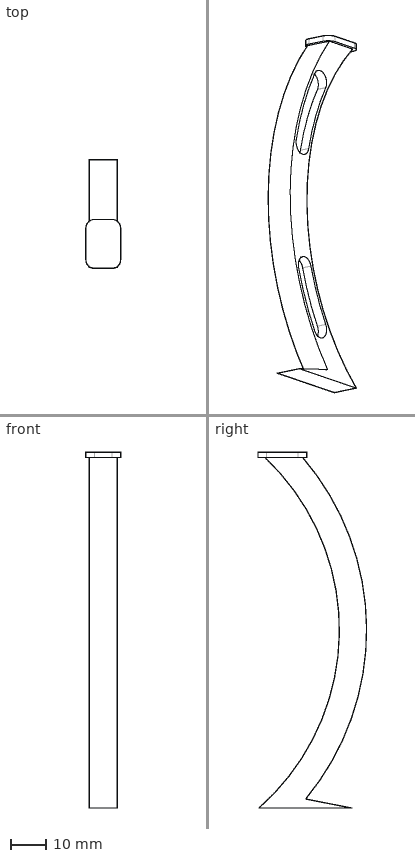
import cadquery as cq
import math

total_height = 101.6

arm_width = 8.0
arm_thickness = 7.84
arm_mid_radius = 71.62
arm_outer_radius = arm_mid_radius + arm_thickness / 2
arm_inner_radius = arm_mid_radius - arm_thickness / 2
arc_center_y = -44.45
arc_center_z = total_height / 2

plate_width = 10.0
plate_length = 14.0
plate_thickness = 1.6
plate_corner_radius = 2.5
plate_underside_z = total_height - plate_thickness

heel_tip_y = 26.9
heel_notch_z = 2.6

slot_width = 5.95
slot_depth = 3.0
upper_slot_start = 12.9
upper_slot_end = 30.7
lower_slot_start = -30.7
lower_slot_end = -16.3
slot_end_angles = [
    (upper_slot_start, upper_slot_end),
    (lower_slot_start, lower_slot_end),
]


def arc_point(radius, angle):
    """Point (Y, Z) on a circle about the arm's centre, at an angle in degrees."""
    turn = math.radians(angle)
    return (arc_center_y + radius * math.cos(turn), arc_center_z + radius * math.sin(turn))


def angle_at_height(radius, z):
    """Angle in degrees at which a circle about the arm's centre reaches height z."""
    return math.degrees(math.asin((z - arc_center_z) / radius))


def make_arm():
    """Arm and heel as one profile, extruded symmetrically about X = 0."""
    toe = arc_point(arm_inner_radius, angle_at_height(arm_inner_radius, 0))
    inner_top = arc_point(arm_inner_radius, angle_at_height(arm_inner_radius, plate_underside_z))
    outer_top = arc_point(arm_outer_radius, angle_at_height(arm_outer_radius, plate_underside_z))
    notch = arc_point(arm_outer_radius, angle_at_height(arm_outer_radius, heel_notch_z))
    return (
        cq.Workplane("YZ")
        .moveTo(*toe)
        .threePointArc(arc_point(arm_inner_radius, 0), inner_top)
        .lineTo(*outer_top)
        .threePointArc(arc_point(arm_outer_radius, 0), notch)
        .lineTo(heel_tip_y, 0)
        .close()
        .extrude(arm_width / 2, both=True)
    )


def make_plate():
    """Flat plate with rounded corners that caps the arm."""
    return (
        cq.Workplane("XY")
        .workplane(offset=plate_underside_z)
        .center(0, plate_length / 2)
        .rect(plate_width, plate_length)
        .extrude(plate_thickness)
        .edges("|Z")
        .fillet(plate_corner_radius)
    )


def make_slot(start_angle, end_angle):
    """Cutter for a round-ended slot that follows the middle of the arm."""
    outer_radius = arm_mid_radius + slot_width / 2
    inner_radius = arm_mid_radius - slot_width / 2
    middle_angle = (start_angle + end_angle) / 2
    cap_angle = math.degrees(slot_width / 2 / arm_mid_radius)
    return (
        cq.Workplane("YZ")
        .workplane(offset=-arm_width / 2)
        .moveTo(*arc_point(outer_radius, start_angle))
        .threePointArc(arc_point(outer_radius, middle_angle), arc_point(outer_radius, end_angle))
        .threePointArc(arc_point(arm_mid_radius, end_angle + cap_angle), arc_point(inner_radius, end_angle))
        .threePointArc(arc_point(inner_radius, middle_angle), arc_point(inner_radius, start_angle))
        .threePointArc(arc_point(arm_mid_radius, start_angle - cap_angle), arc_point(outer_radius, start_angle))
        .close()
        .extrude(slot_depth)
    )


result = make_arm().union(make_plate())
for first_angle, last_angle in slot_end_angles:
    result = result.cut(make_slot(first_angle, last_angle))